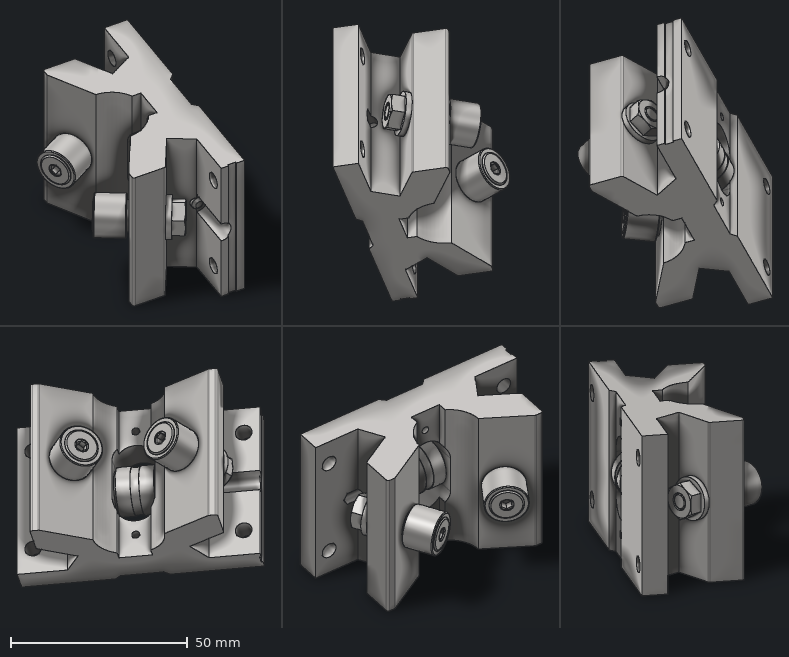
import cadquery as cq
import math


width = 69.85
height = 47.65
half_width = width / 2
flange_thickness = 7.55
rear_groove_top = 7.8
rear_groove_bottom = 6.2
rear_groove_depth = 1.6
tilt = math.radians(30)
notch_root_x = 20.3
notch_depth = 8.5
arm_outer_x = 26.95
arm_front_y = -31.6
arm_thickness = 10.3
arm_edge_radius = 0.7
seat_edge_radius = 0.6
bore_radius = 10.3
bore_y = -23.8
recess_half_width = 4.8
recess_y = -11.95

mount_hole_diameter = 4.75
mount_hole_x = 30.25
mount_hole_z = 15.85
pilot_hole_diameter = 2.25
pilot_hole_z = 16.75
window_width = 12.3
window_height = 24.4
side_groove_width = 2.5
side_groove_depth = 0.5
side_groove_y = -3.9

axle_y = -7.25
pin_radius = 1.95
pin_chamfer = 0.85
pin_cone_base_x = -16.75
pin_right_x = 21.3
pin_bore_end_x = -23.95
cone_tip_length = 1.2
pin_access_radius = 3.15
centre_roller_radius = 7.1
centre_roller_width = 11.05
roller_boss_radius = 6.1
roller_groove_width = 2.5
roller_groove_depth = 0.2
roller_groove_sag = 0.15

nut_flange_radius = 6.35
nut_flange_thickness = 1.75
nut_hex_flats = 9.6
nut_hex_height = 3.9
nut_chamfer = 0.35
thread_chamfer = 0.3
shank_radius = 2.3
roller_eccentricity = 0.2
side_roller_radius = 6.4
side_roller_start = 0.8
side_roller_end = 10.2
side_roller_chamfer = 0.3
stud_head_radius = 5.0
stud_head_end = 10.5
stud_head_chamfer = 0.5
stud_collar_radius = 4.7
socket_flats = 2.9
socket_depth = 2.8
socket_entry_diameter = 4.05
socket_entry_depth = 0.4

sides = (1, -1)

notch_corner_x = notch_root_x - notch_depth * math.sin(tilt)
notch_corner_y = -flange_thickness - notch_depth * math.cos(tilt)
seat_outer_y = notch_corner_y - (arm_outer_x - notch_corner_x) * math.tan(tilt)
inner_apex_y = notch_corner_y + notch_corner_x * math.tan(tilt) - arm_thickness / math.cos(tilt)
arm_tip_x = (inner_apex_y - arm_front_y) / math.tan(tilt)
seat_x = notch_corner_x + nut_flange_radius * math.cos(tilt)
seat_y = notch_corner_y - nut_flange_radius * math.sin(tilt)
inner_x = seat_x - arm_thickness * math.sin(tilt)
inner_y = seat_y - arm_thickness * math.cos(tilt)


def axis_plane(side):
    """Plane on an arm's inner face, normal along the roller axis; side is +1 right, -1 left."""
    return cq.Plane(
        origin=(side * inner_x, inner_y, 0),
        xDir=(0, 0, 1),
        normal=(-side * math.sin(tilt), -math.cos(tilt), 0),
    )


def roller_plane(side):
    """The arm's axis plane, raised along Z by the eccentricity on the right-hand side."""
    plane = axis_plane(side)
    if side > 0:
        plane.origin = plane.origin + cq.Vector(0, 0, roller_eccentricity)
    return plane


def hexagon_corners(flats):
    """Distance across the corners of a hexagon."""
    return flats / math.cos(math.radians(30))


def make_profile():
    half_outline = [
        (rear_groove_bottom, -rear_groove_depth),
        (rear_groove_top, 0),
        (half_width, 0),
        (half_width, -flange_thickness),
        (notch_root_x, -flange_thickness),
        (notch_corner_x, notch_corner_y),
        (arm_outer_x, seat_outer_y),
        (arm_outer_x, arm_front_y),
        (arm_tip_x, arm_front_y),
    ]
    mirrored = [(-x, y) for x, y in reversed(half_outline)]
    outline = half_outline + [(0, inner_apex_y)] + mirrored
    body = cq.Workplane("XY").polyline(outline).close().extrude(height / 2, both=True)
    for side in sides:
        for x, y, radius in (
            (arm_outer_x, seat_outer_y, seat_edge_radius),
            (arm_outer_x, arm_front_y, arm_edge_radius),
            (arm_tip_x, arm_front_y, arm_edge_radius),
        ):
            edge = cq.selectors.NearestToPointSelector((side * x, y, 0))
            body = body.edges("|Z").edges(edge).fillet(radius)
    bore = cq.Workplane("XY").center(0, bore_y).circle(bore_radius).extrude(height / 2, both=True)
    recess = (
        cq.Workplane("XY")
        .center(0, (recess_y + bore_y) / 2)
        .rect(2 * recess_half_width, recess_y - bore_y)
        .extrude(height / 2, both=True)
    )
    return body.cut(bore).cut(recess)


def cut_front_holes(body):
    rear = cq.Workplane("XZ")
    mounts = (
        rear.rect(2 * mount_hole_x, 2 * mount_hole_z, forConstruction=True)
        .vertices()
        .circle(mount_hole_diameter / 2)
        .extrude(flange_thickness)
    )
    pilots = (
        rear.pushPoints([(0, pilot_hole_z), (0, -pilot_hole_z)])
        .circle(pilot_hole_diameter / 2)
        .extrude(-recess_y)
    )
    window = rear.slot2D(window_height, window_width, 90).extrude(-bore_y)
    return body.cut(mounts).cut(pilots).cut(window)


def cut_side_groove(body):
    groove = cq.Workplane("XY").box(2 * side_groove_depth, side_groove_width, height)
    return body.cut(groove.translate((half_width, side_groove_y, 0)))


def cut_pin_bore(body):
    tip_x = pin_bore_end_x - cone_tip_length
    bore = (
        cq.Workplane("XY")
        .polyline([
            (tip_x, axle_y),
            (pin_bore_end_x, axle_y + pin_radius),
            (notch_root_x, axle_y + pin_radius),
            (notch_root_x, axle_y + pin_access_radius),
            (half_width, axle_y + pin_access_radius),
            (half_width, axle_y),
        ])
        .close()
        .revolve(360, (0, axle_y, 0), (1, axle_y, 0))
    )
    return body.cut(bore)


def make_housing():
    body = cut_pin_bore(cut_side_groove(cut_front_holes(make_profile())))
    for side in sides:
        shank_hole = cq.Workplane(axis_plane(side)).circle(shank_radius).extrude(-arm_thickness)
        body = body.cut(shank_hole)
    return body


def make_pin():
    chamfer_x = pin_right_x - pin_chamfer
    return (
        cq.Workplane("XY")
        .polyline([
            (pin_cone_base_x - cone_tip_length, axle_y),
            (pin_cone_base_x, axle_y + pin_radius),
            (chamfer_x, axle_y + pin_radius),
            (pin_right_x, axle_y + pin_radius - pin_chamfer),
            (pin_right_x, axle_y),
        ])
        .close()
        .revolve(360, (0, axle_y, 0), (1, axle_y, 0))
    )


def make_centre_roller():
    half_roller = centre_roller_width / 2
    half_boss = window_width / 2
    half_groove = roller_groove_width / 2
    top_y = axle_y + centre_roller_radius
    groove_y = top_y - roller_groove_depth
    boss_y = axle_y + roller_boss_radius
    bore_edge_y = axle_y + pin_radius
    return (
        cq.Workplane("XY")
        .moveTo(-half_boss, bore_edge_y)
        .lineTo(-half_boss, boss_y)
        .lineTo(-half_roller, boss_y)
        .lineTo(-half_roller, top_y)
        .lineTo(-half_groove, top_y)
        .lineTo(-half_groove, groove_y)
        .threePointArc((0, groove_y - roller_groove_sag), (half_groove, groove_y))
        .lineTo(half_groove, top_y)
        .lineTo(half_roller, top_y)
        .lineTo(half_roller, boss_y)
        .lineTo(half_boss, boss_y)
        .lineTo(half_boss, bore_edge_y)
        .close()
        .revolve(360, (0, axle_y, 0), (1, axle_y, 0))
    )


def make_side_roller(side):
    start = cq.Workplane(roller_plane(side)).workplane(offset=side_roller_start)
    length = side_roller_end - side_roller_start
    roller = start.circle(side_roller_radius).extrude(length)
    roller = roller.edges().chamfer(side_roller_chamfer)
    return roller.cut(start.circle(stud_head_radius).extrude(length))


def make_stud(side):
    axis = axis_plane(side).zDir
    base = cq.Workplane(roller_plane(side))
    shank_length = arm_thickness + nut_flange_thickness + nut_hex_height
    shank = cq.Workplane(axis_plane(side)).circle(shank_radius).extrude(-shank_length)
    shank = shank.faces(cq.selectors.DirectionMinMaxSelector(axis, False)).chamfer(thread_chamfer)
    collar = base.circle(stud_collar_radius).extrude(side_roller_start)
    head_start = base.workplane(offset=side_roller_start)
    head = head_start.circle(stud_head_radius).extrude(stud_head_end - side_roller_start)
    head = head.faces(cq.selectors.DirectionMinMaxSelector(axis, True)).chamfer(stud_head_chamfer)
    top = base.workplane(offset=stud_head_end)
    socket = top.polygon(6, hexagon_corners(socket_flats)).extrude(-socket_depth)
    socket_entry = top.circle(socket_entry_diameter / 2).extrude(-socket_entry_depth)
    return shank.union(collar).union(head).cut(socket).cut(socket_entry)


def make_nut(side):
    seat = cq.Workplane(axis_plane(side)).workplane(offset=-arm_thickness)
    total = nut_flange_thickness + nut_hex_height
    flange = seat.circle(nut_flange_radius).extrude(-nut_flange_thickness)
    hexagon = seat.polygon(6, hexagon_corners(nut_hex_flats)).extrude(-total)
    end = seat.workplane(offset=-total)
    corner_radius = hexagon_corners(nut_hex_flats) / 2
    flare = (corner_radius - nut_hex_flats / 2) / nut_chamfer
    base_radius = nut_hex_flats / 2 + flare * total
    envelope = (
        end.circle(nut_hex_flats / 2)
        .workplane(offset=total)
        .circle(base_radius)
        .loft(ruled=True)
    )
    bore = end.circle(shank_radius).extrude(total)
    bore_chamfer = (
        end.circle(shank_radius + thread_chamfer)
        .workplane(offset=thread_chamfer)
        .circle(shank_radius)
        .loft(ruled=True)
    )
    return hexagon.intersect(envelope).union(flange).cut(bore).cut(bore_chamfer)


housing = make_housing().solids()
pin = make_pin().solids()
centre_roller = make_centre_roller().solids()
side_rollers = [make_side_roller(side).solids().val() for side in sides]
studs = [make_stud(side).solids().val() for side in sides]
nuts = [make_nut(side).solids().val() for side in sides]

result = cq.Compound.makeCompound(
    [housing.val(), pin.val(), centre_roller.val(), *side_rollers, *studs, *nuts]
)